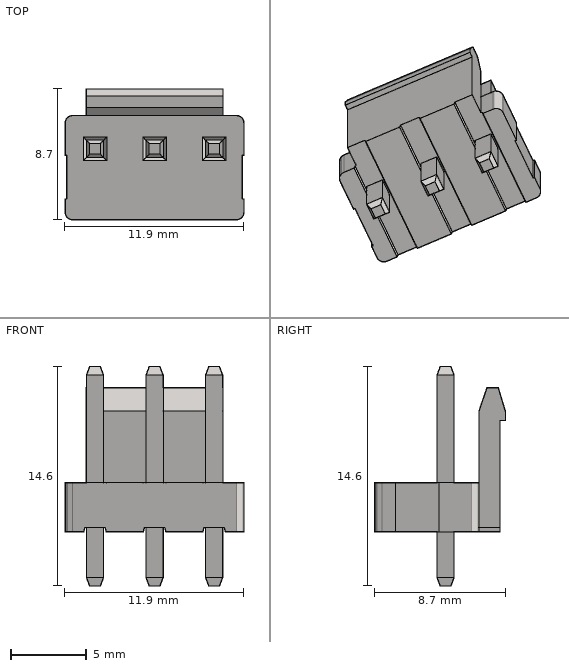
import cadquery as cq

OVERLAP = 0.15

pin_count = 3
pin_pitch = 3.95
pin_width = 1.15
pin_tip_width = 0.72
pin_tip_length = 0.58
pin_length = 14.6
pin_below_body = 3.6

body_length = 11.88
body_height = 3.28
body_front = -4.72
body_back = 2.22
corner_radius = 0.5

recess_depth = 0.1
recess_front = -3.33
recess_back = -0.44

socket_depth = 0.2
socket_width = pin_width + 2 * socket_depth

groove_height = 0.29
groove_mouth_width = 1.49
groove_roof_width = 1.35

wall_length = 9.1
wall_thickness = 1.4
hook_overhang = 0.36
hook_underside = 4.1
hook_corner = 4.72
wall_taper_start = 4.76
wall_rise = 6.3
wall_front_taper = 0.53
wall_back_taper = 0.48

wall_back = body_back + wall_thickness
hook_back = wall_back + hook_overhang
pin_positions = [(i - (pin_count - 1) / 2) * pin_pitch for i in range(pin_count)]


def make_frustum(x, z, start_width, end_width, height):
    """Square frustum on the pin row, growing from height z."""
    return (
        cq.Workplane("XY", origin=(x, 0, z))
        .rect(start_width, start_width)
        .workplane(offset=height)
        .rect(end_width, end_width)
        .loft(ruled=True)
    )


def make_body():
    depth = body_back - body_front
    body = (
        cq.Workplane("XY", origin=(0, (body_front + body_back) / 2, 0))
        .rect(body_length, depth)
        .extrude(body_height)
        .edges("|Z")
        .fillet(corner_radius)
    )
    recess_centre = (recess_front + recess_back) / 2
    recesses = (
        cq.Workplane("XY")
        .pushPoints([(-body_length / 2, recess_centre), (body_length / 2, recess_centre)])
        .rect(2 * recess_depth, recess_back - recess_front)
        .extrude(body_height)
    )
    return body.cut(recesses)


def make_wall():
    profile = [
        (body_back, 0),
        (wall_back, 0),
        (wall_back, body_height + hook_underside),
        (hook_back, body_height + hook_underside),
        (hook_back, body_height + hook_corner),
        (hook_back - wall_back_taper, body_height + wall_rise),
        (body_back + wall_front_taper, body_height + wall_rise),
        (body_back, body_height + wall_taper_start),
    ]
    return cq.Workplane("YZ").polyline(profile).close().extrude(wall_length / 2, both=True)


def make_groove(x):
    profile = [
        (x - groove_mouth_width / 2, 0),
        (x + groove_mouth_width / 2, 0),
        (x + groove_roof_width / 2, groove_height),
        (x - groove_roof_width / 2, groove_height),
    ]
    start = wall_back + OVERLAP
    run = start - body_front + OVERLAP
    return cq.Workplane("XZ", origin=(0, start, 0)).polyline(profile).close().extrude(run)


def make_pin(x):
    bottom = -pin_below_body
    shank_start = bottom + pin_tip_length
    shank_end = bottom + pin_length - pin_tip_length
    shank = make_frustum(x, shank_start, pin_width, pin_width, shank_end - shank_start)
    lower_tip = make_frustum(x, bottom, pin_tip_width, pin_width, pin_tip_length)
    upper_tip = make_frustum(x, shank_end, pin_width, pin_tip_width, pin_tip_length)
    return shank.union(lower_tip).union(upper_tip)


result = make_body().union(make_wall())
for x in pin_positions:
    socket = make_frustum(x, body_height - socket_depth, pin_width, socket_width, socket_depth)
    result = result.cut(make_groove(x)).cut(socket).union(make_pin(x))